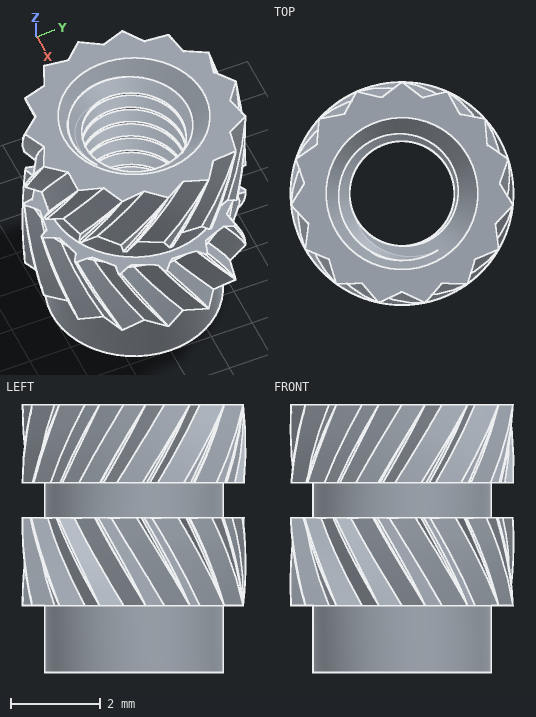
import cadquery as cq
import math


height = 6.0
core_radius = 2.0
band_radius = 2.5
lower_band_base = 1.5
lower_band_height = 1.97
lower_groove_length = 1.95
upper_band_height = 1.75

groove_count = 15
groove_pitch_angle = 360 / groove_count
groove_root_radius = 2.2
groove_lead = 22.5
groove_outer_radius = 2.8
first_groove_angle = -90

bore_radius = 1.17
thread_root_radius = 1.5
thread_pitch = 0.5
thread_root_width = 0.04
thread_half_angle = math.radians(30)
thread_start = -0.6
thread_turns = 14
thread_inner_radius = 1.1
chamfer_radius = 1.7


def knurl_groove(length):
    """One V groove that starts full width at Z = 0 and climbs as a left-hand helix."""
    half_pitch = math.radians(groove_pitch_angle / 2)
    edge_x = band_radius * math.cos(half_pitch)
    edge_y = band_radius * math.sin(half_pitch)
    outer_x = groove_outer_radius * math.cos(half_pitch)
    outer_y = groove_outer_radius * math.sin(half_pitch)
    path = cq.Wire.makeHelix(groove_lead, length, groove_root_radius, lefthand=True)
    return (
        cq.Workplane("XY")
        .polyline([
            (groove_root_radius, 0),
            (edge_x, -edge_y),
            (outer_x, -outer_y),
            (outer_x, outer_y),
            (edge_x, edge_y),
        ])
        .close()
        .sweep(cq.Workplane(path), isFrenet=False)
    )


def knurled_band(band_height, groove_length):
    """A band standing on Z = 0 with its grooves spaced evenly around it."""
    band = cq.Workplane("XY").circle(band_radius).extrude(band_height)
    groove = knurl_groove(groove_length)
    for index in range(groove_count):
        angle = first_groove_angle + index * groove_pitch_angle
        band = band.cut(groove.rotate((0, 0, 0), (0, 0, 1), angle))
    return band


def thread_cutter():
    """A right-hand V with a narrow flat root, wide enough to break through the bore wall."""
    half_root = thread_root_width / 2
    half_width = half_root + (thread_root_radius - thread_inner_radius) * math.tan(thread_half_angle)
    path = cq.Wire.makeHelix(thread_pitch, thread_turns * thread_pitch, thread_inner_radius)
    return (
        cq.Workplane("XZ")
        .polyline([
            (thread_inner_radius, -half_width),
            (thread_root_radius, -half_root),
            (thread_root_radius, half_root),
            (thread_inner_radius, half_width),
        ])
        .close()
        .sweep(cq.Workplane(path), isFrenet=True)
        .translate((0, 0, thread_start))
    )


def entry_chamfer():
    """A 45 degree cone at the top of the bore."""
    return (
        cq.Workplane("XZ")
        .polyline([(0, height), (chamfer_radius, height), (0, height - chamfer_radius)])
        .close()
        .revolve(360, (0, 0, 0), (0, 1, 0))
    )


core = cq.Workplane("XY").circle(core_radius).extrude(height)
lower_band = knurled_band(lower_band_height, lower_groove_length).translate((0, 0, lower_band_base))
upper_band = knurled_band(upper_band_height, upper_band_height).mirror("XY").translate((0, 0, height))
bore = cq.Workplane("XY").circle(bore_radius).extrude(height)

result = core.union(lower_band).union(upper_band).cut(bore).cut(entry_chamfer()).cut(thread_cutter())